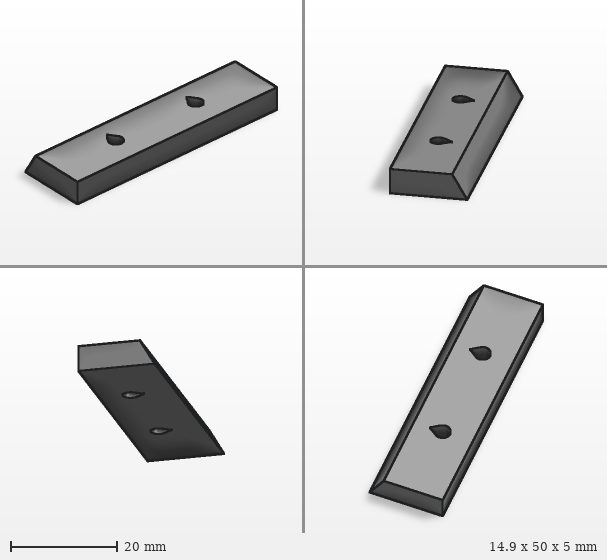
import cadquery as cq
import math

length = 50.0
width = 14.9
height = 5.0
slope_angle = 60.0
slope_run = height / math.tan(math.radians(slope_angle))

hole_radius = 1.5
hole_center_x = 8.75
hole_spacing = 20.0
tip_distance = 2.6


def make_bar():
    """Extrude the sloped section along Y, centered on Y = 0."""
    section = [(0, 0), (width, 0), (width, height), (slope_run, height)]
    return cq.Workplane("XZ").polyline(section).close().extrude(length / 2, both=True)


def make_teardrop(center_y):
    """Circle with two tangent lines that meet at a tip on the -X side."""
    tangent_x = hole_center_x - hole_radius**2 / tip_distance
    tangent_y = hole_radius * math.sqrt(1 - (hole_radius / tip_distance) ** 2)
    return (
        cq.Workplane("XY")
        .moveTo(hole_center_x - tip_distance, center_y)
        .lineTo(tangent_x, center_y - tangent_y)
        .threePointArc((hole_center_x + hole_radius, center_y), (tangent_x, center_y + tangent_y))
        .close()
        .extrude(height)
    )


result = make_bar()
for hole_y in (-hole_spacing / 2, hole_spacing / 2):
    result = result.cut(make_teardrop(hole_y))